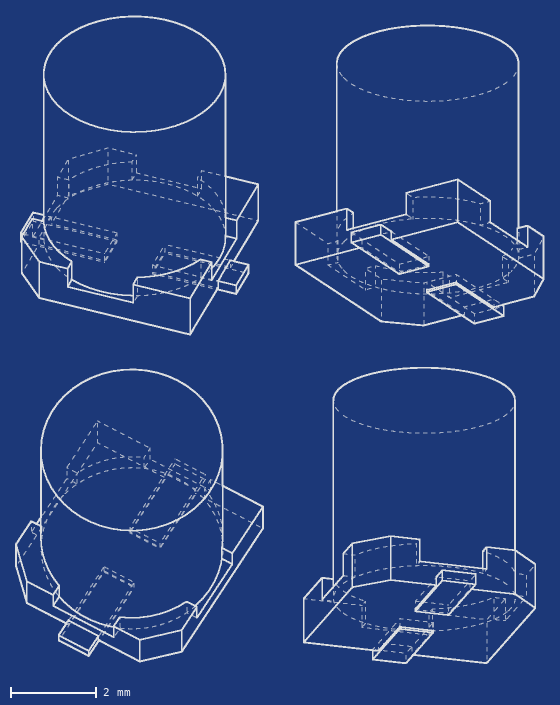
import cadquery as cq

total_height = 5.57
lead_span = 5.41

base_side = 4.5
base_bottom = 0.05
base_top = 1.155
corner_chamfer = 0.72
notch_width = 1.645
notch_floor = 0.6

can_diameter = 4.265

lead_width = 0.82
lead_thickness = 0.26
lead_gap = 1.2
lead_length = (lead_span - lead_gap) / 2


def block(length, width, bottom, top):
    """Box centred on the Z axis between two heights."""
    return cq.Workplane("XY").workplane(offset=bottom).rect(length, width).extrude(top - bottom)


def make_can():
    """Plain cylinder standing on the floor of the base."""
    return (
        cq.Workplane("XY")
        .workplane(offset=notch_floor)
        .circle(can_diameter / 2)
        .extrude(total_height - notch_floor)
    )


def make_lead(side):
    """Flat terminal; side is -1 for the -X end and +1 for the +X end."""
    center_x = side * (lead_gap + lead_length) / 2
    return block(lead_length, lead_width, 0, lead_thickness).translate((center_x, 0, 0))


def make_base(can, leads):
    """Square plate with two cut corners, four corner posts and seats for can and leads."""
    base = block(base_side, base_side, base_bottom, base_top)
    base = base.edges("|Z and <X").chamfer(corner_chamfer)

    base = base.cut(block(base_side, notch_width, notch_floor, base_top))
    base = base.cut(block(notch_width, base_side, notch_floor, base_top))

    base = base.cut(can)
    for lead in leads:
        base = base.cut(lead)
    return base


can = make_can()
leads = [make_lead(side) for side in (-1, 1)]
base = make_base(can, leads)

result = cq.Compound.makeCompound([base.val(), can.val(), *[lead.val() for lead in leads]])